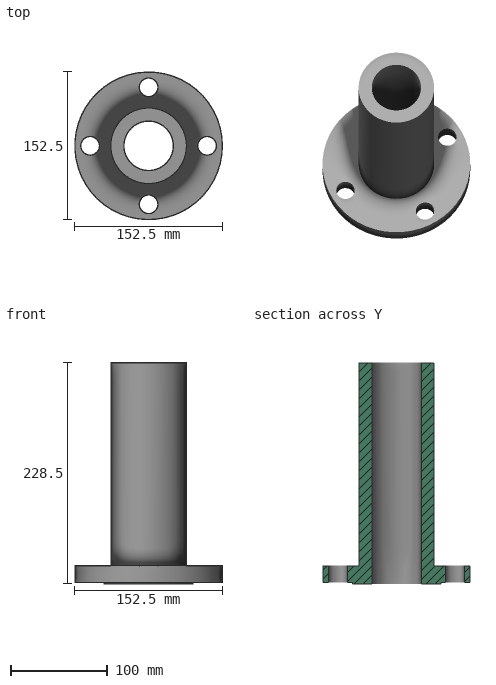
import cadquery as cq

total_height = 228.5
bore_diameter = 50.7

flange_diameter = 152.5
flange_thickness = 17.4
raised_face_diameter = 92.0
raised_face_height = 1.5

neck_diameter = 78.0

bolt_circle_diameter = 120.7
bolt_hole_diameter = 19.0
bolt_hole_count = 4

flange_top = raised_face_height + flange_thickness
neck_height = total_height - flange_top


def disc(diameter, bottom, height):
    """Solid cylinder on the Z axis, starting at the given height."""
    return cq.Workplane("XY").workplane(offset=bottom).circle(diameter / 2).extrude(height)


raised_face = disc(raised_face_diameter, 0, raised_face_height)
flange = disc(flange_diameter, raised_face_height, flange_thickness)
neck = disc(neck_diameter, flange_top, neck_height)
bore = disc(bore_diameter, 0, total_height)

bolt_holes = (
    cq.Workplane("XY")
    .workplane(offset=raised_face_height)
    .polarArray(bolt_circle_diameter / 2, 0, 360, bolt_hole_count)
    .circle(bolt_hole_diameter / 2)
    .extrude(flange_thickness)
)

result = raised_face.union(flange).union(neck).cut(bore).cut(bolt_holes)